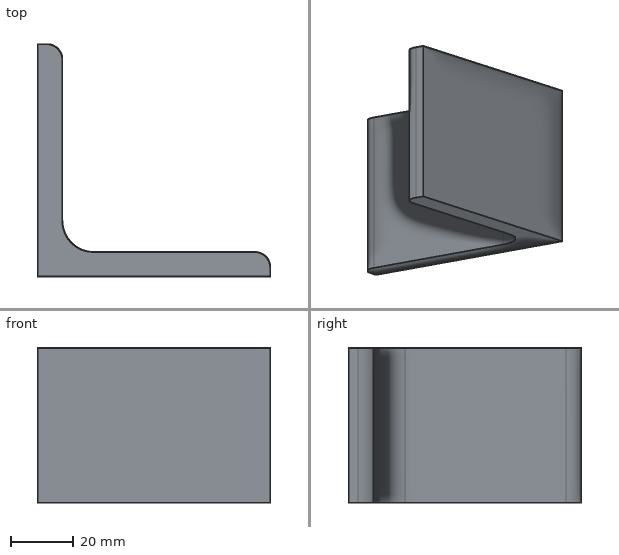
import cadquery as cq

leg_length = 75.0
leg_thickness = 8.0
root_radius = 10.0
toe_radius = 5.0
cut_length = 50.0


def angle_bar():
    """L-shaped section with its outer corner at the origin, extruded along Z."""
    return (
        cq.Workplane("XY")
        .moveTo(0, 0)
        .lineTo(leg_length, 0)
        .lineTo(leg_length, leg_thickness)
        .lineTo(leg_thickness, leg_thickness)
        .lineTo(leg_thickness, leg_length)
        .lineTo(0, leg_length)
        .close()
        .extrude(cut_length)
    )


def vertical_edge_at(bar, x, y):
    """Select the vertical edge of the bar nearest to the point (x, y)."""
    return bar.edges("|Z").edges(cq.selectors.NearestToPointSelector((x, y, cut_length / 2)))


def round_inner_edges(bar):
    """Fillet the root between the legs and the inner edge of each toe."""
    bar = vertical_edge_at(bar, leg_thickness, leg_thickness).fillet(root_radius)
    for x, y in ((leg_length, leg_thickness), (leg_thickness, leg_length)):
        bar = vertical_edge_at(bar, x, y).fillet(toe_radius)
    return bar


result = round_inner_edges(angle_bar())